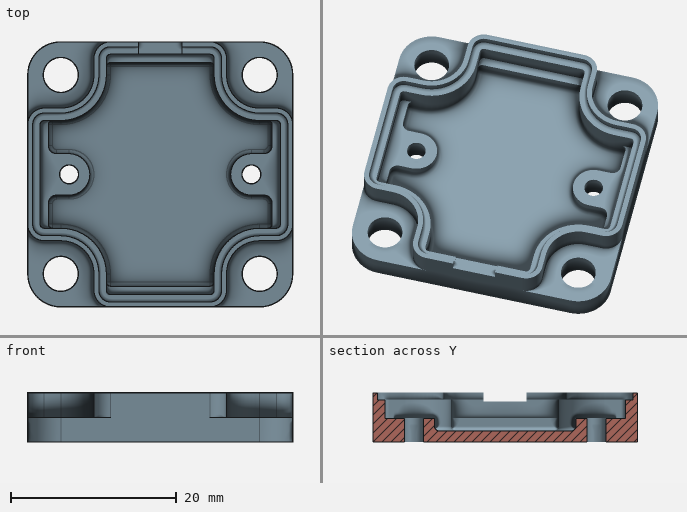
import cadquery as cq
import math

plate_size = 32.0
plate_thickness = 3.0
plate_corner_radius = 4.0
screw_offset = plate_size / 2 - plate_corner_radius
screw_hole_diameter = 4.2

total_height = 6.0
scallop_radius = 4.0
wall_corner_radius = 2.0
wall_thickness = 1.5

lip_thickness = 0.6
rabbet_depth = 0.9
notch_width = 5.2
notch_depth = 1.1

floor_height = 1.4
ledge_height = 2.9
ledge_width = 1.0
floor_fillet = 0.5
boss_offset = 11.0
boss_radius = 2.5
boss_root_radius = 1.0
boss_hole_diameter = 2.25

wall_inner_half = plate_size / 2 - wall_thickness
wall_inner_arm = screw_offset - scallop_radius - wall_thickness
floor_half = wall_inner_half - ledge_width


def turned(x, y, quarter):
    """Point (x, y) turned about the origin by a number of quarter turns."""
    for _ in range(quarter):
        x, y = -y, x
    return x, y


def cross_prism(inset, bottom, top):
    """Prism of the cross-shaped wall outline, offset inwards by inset."""
    half = plate_size / 2 - inset
    scallop = scallop_radius + inset
    arm = screw_offset - scallop
    corner = wall_corner_radius - inset
    corner_centre = half - corner
    arm_corner_centre = arm - corner
    corner_mid = corner * math.sqrt(0.5)
    scallop_mid = screw_offset - scallop * math.sqrt(0.5)

    outline = cq.Workplane("XY").workplane(offset=bottom).moveTo(half, -arm_corner_centre)
    for quarter in range(4):
        outline = (
            outline.lineTo(*turned(half, arm_corner_centre, quarter))
            .threePointArc(
                turned(corner_centre + corner_mid, arm_corner_centre + corner_mid, quarter),
                turned(corner_centre, arm, quarter),
            )
            .lineTo(*turned(screw_offset, arm, quarter))
            .threePointArc(
                turned(scallop_mid, scallop_mid, quarter),
                turned(arm, screw_offset, quarter),
            )
            .lineTo(*turned(arm, corner_centre, quarter))
            .threePointArc(
                turned(arm_corner_centre + corner_mid, corner_centre + corner_mid, quarter),
                turned(arm_corner_centre, half, quarter),
            )
        )
    return outline.close().extrude(top - bottom)


def block(size_x, size_y, bottom, top, centre_x=0.0, centre_y=0.0):
    """Upright block between two heights, centred on the given point."""
    return (
        cq.Workplane("XY")
        .box(size_x, size_y, top - bottom, centered=(True, True, False))
        .translate((centre_x, centre_y, bottom))
    )


def base_plate():
    plate = block(plate_size, plate_size, 0, plate_thickness)
    return plate.edges("|Z").fillet(plate_corner_radius)


def upright_edges(solid, x, y):
    """The four vertical edges of the solid that stand at (+-x, +-y)."""
    mid_height = (floor_height + ledge_height) / 2
    edges = solid.newObject([])
    for side_x in (-1, 1):
        for side_y in (-1, 1):
            point = (side_x * x, side_y * y, mid_height)
            edges = edges.add(solid.edges("|Z").edges(cq.selectors.NearestToPointSelector(point)))
    return edges


def floor_pocket():
    """Space below the ledge, leaving the bosses standing, with rounded corners and floor edge."""
    pocket = cross_prism(wall_thickness, floor_height, ledge_height)
    pocket = pocket.intersect(block(2 * floor_half, 2 * floor_half, floor_height, ledge_height))
    neck_length = floor_half - boss_offset
    for side in (-1, 1):
        neck_x = side * (floor_half + boss_offset) / 2
        neck = block(neck_length, 2 * boss_radius, floor_height, ledge_height, neck_x)
        boss = (
            cq.Workplane("XY")
            .workplane(offset=floor_height)
            .center(side * boss_offset, 0)
            .circle(boss_radius)
            .extrude(ledge_height - floor_height)
        )
        pocket = pocket.cut(neck.union(boss))
    pocket = upright_edges(pocket, floor_half, boss_radius).fillet(boss_root_radius)
    corners = upright_edges(pocket, floor_half, wall_inner_arm)
    corners = corners.add(upright_edges(pocket, wall_inner_arm, floor_half))
    return corners.add(pocket.faces("<Z").edges()).fillet(floor_fillet)


def wall_notch():
    centre_y = plate_size / 2 - wall_thickness / 2
    return block(notch_width, wall_thickness, total_height - notch_depth, total_height, 0, centre_y)


def through_holes(points, diameter):
    return cq.Workplane("XY").pushPoints(points).circle(diameter / 2).extrude(total_height)


screw_points = [turned(screw_offset, screw_offset, quarter) for quarter in range(4)]
boss_points = [(-boss_offset, 0), (boss_offset, 0)]

result = base_plate().union(cross_prism(0, plate_thickness, total_height))
result = result.cut(cross_prism(wall_thickness, ledge_height, total_height))
result = result.cut(cross_prism(lip_thickness, total_height - rabbet_depth, total_height))
result = result.cut(floor_pocket())
result = result.cut(wall_notch())
result = result.cut(through_holes(screw_points, screw_hole_diameter))
result = result.cut(through_holes(boss_points, boss_hole_diameter))